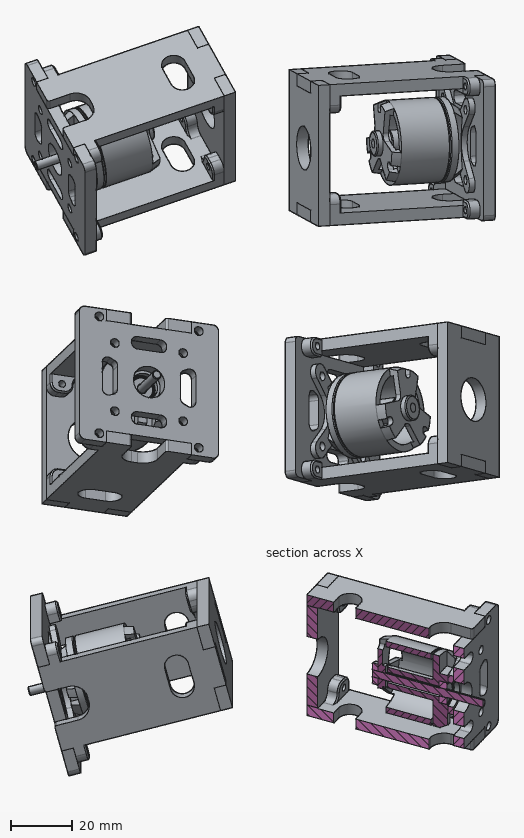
import cadquery as cq
import math

WALL = 4.0
FRAME_DEPTH = 58.0
FRAME_HEIGHT = 47.0
FRONT_WIDTH = 49.0
BODY_WIDTH = 29.95
FRONT_CORNER_R = 2.0

HALF_HEIGHT = FRAME_HEIGHT / 2
HALF_BODY = BODY_WIDTH / 2
INNER_Z = HALF_HEIGHT - WALL
REAR_Y = FRAME_DEPTH - WALL

CENTRE_HOLE_D = 11.0
MOUNT_HOLE_D = 3.0
MOUNT_HOLE_XZ = 12.0
CORNER_HOLE_D = 3.0
CORNER_HOLE_X = 17.5
CORNER_HOLE_Z = 20.6
END_SLOT_LENGTH = 12.35
END_SLOT_WIDTH = 4.4
END_SLOT_CORNER_R = 2.15
END_SLOT_Z = 13.25
SIDE_SLOT_INNER_X = 11.05
SIDE_SLOT_OUTER_X = 16.45
SIDE_SLOT_INNER_HALF = 5.3
SIDE_SLOT_OUTER_HALF = 7.85
SIDE_SLOT_CORNER_R = 2.0

PICK = 0.3

REAR_HOLE_D = 14.4
TONGUE_WIDTH = 13.7

LUG_LENGTH = 4.0
LUG_R = 3.0
LUG_HEIGHT = 2 * LUG_R
LUG_WIDTH = 8.0
LUG_CHAMFER = 0.5
PILOT_D = 2.35

VENT_LENGTH = 14.95
VENT_WIDTH = 8.0
VENT_Y = 44.0
MOUTH_WIDTH = 12.0
MOUTH_DEPTH = 13.0
MOUTH_CORNER_R = 5.0
MOUTH_LIP_R = 0.8

MOTOR_R = 14.0
MOUNT_THICKNESS = 2.0
NECK_LENGTH = 3.0
RING_LENGTH = 2.65
CAN_GAP = 0.45
CAN_LENGTH = 16.7
SPIDER_LENGTH = 3.05
WEB_THICKNESS = 1.9
COLLAR_LENGTH = 2.1

MOUNT_Y = WALL
NECK_Y = MOUNT_Y + MOUNT_THICKNESS
RING_Y = NECK_Y + NECK_LENGTH
RING_END_Y = RING_Y + RING_LENGTH
CAN_Y = RING_END_Y + CAN_GAP
CAN_END_Y = CAN_Y + CAN_LENGTH
SPIDER_END_Y = CAN_END_Y + SPIDER_LENGTH
WEB_Y = SPIDER_END_Y - WEB_THICKNESS
COLLAR_END_Y = SPIDER_END_Y + COLLAR_LENGTH

ARM_R = 3.0
ARM_TIP_XZ = 12.75
ARM_HOLE_D = 2.85
ARM_HOLE_XZ = 11.7
CROSS_R = 8.05
CROSS_BORE_D = 9.1

NECK_FRONT_R = 12.1
NECK_SIDE_R = 29.9
NECK_SIDE_X = 7.2
TOP_CHANNEL_WIDTH = 10.0
BOTTOM_CHANNEL_WIDTH = 9.1
RIB_WIDTH = 3.1
TUBE_R = 4.1
TUBE_CLEARANCE = 0.5
RING_CHAMFER = 0.3

BEARING_R = 4.1
BEARING_RECESS = 0.2
BEARING_LENGTH = 3.0
BEARING_EDGE = 0.4
BORE_CHAMFER = 0.2
SHAFT_R = 1.5
SHAFT_OUT = 7.0
SHAFT_CHAMFER = 0.25
TUBE_BORE_R = 1.95

CAN_INNER_R = 11.65
CAN_CHAMFER = 0.2
SPIDER_REAR_R = 13.05
SPOKE_WIDTH = 6.25
SPOKE_SPREAD = 13.5
SLOT_R = 1.35
SLOT_END_R = 11.6
CROTCH_R = 2.1
HUB_R = 4.2
COLLAR_R = 4.15
ARM_ANGLES = (90, 210, 330)
COLLAR_CHAMFER = 0.4


def plate_xz(y):
    """Workplane at depth y whose local axes are X and Z; extrude(-t) grows toward +Y."""
    return cq.Workplane("XZ", origin=(0, y, 0))


def turned(points):
    """Solid of revolution about the Y axis from (radius, y) points."""
    return cq.Workplane("XY").polyline(points).close().revolve(360, (0, 0, 0), (0, 1, 0))


def cylinder(radius, y_start, y_end):
    return plate_xz(y_start).circle(radius).extrude(y_start - y_end)


def square_points(x, z):
    return [(sx * x, sz * z) for sx in (-1, 1) for sz in (-1, 1)]


def through_holes(diameter, x, z):
    """Four holes through the front plate, one in each quadrant."""
    return plate_xz(0).pushPoints(square_points(x, z)).circle(diameter / 2).extrude(-WALL)


def make_side_slot():
    """Tapered slot on the +X side of the front plate."""
    outline = [
        (SIDE_SLOT_INNER_X, -SIDE_SLOT_INNER_HALF),
        (SIDE_SLOT_OUTER_X, -SIDE_SLOT_OUTER_HALF),
        (SIDE_SLOT_OUTER_X, SIDE_SLOT_OUTER_HALF),
        (SIDE_SLOT_INNER_X, SIDE_SLOT_INNER_HALF),
    ]
    slot = plate_xz(0).polyline(outline).close().extrude(-WALL)
    return slot.edges("|Y").fillet(SIDE_SLOT_CORNER_R)


def make_end_slot():
    """Straight slot above the centre of the front plate."""
    slot = plate_xz(0).center(0, END_SLOT_Z).rect(END_SLOT_LENGTH, END_SLOT_WIDTH).extrude(-WALL)
    return slot.edges("|Y").fillet(END_SLOT_CORNER_R)


def make_front_plate():
    plate = plate_xz(0).rect(FRONT_WIDTH, FRAME_HEIGHT).extrude(-WALL)
    plate = plate.edges("|Y").fillet(FRONT_CORNER_R)
    notches = (
        plate_xz(0)
        .pushPoints([(0, HALF_HEIGHT), (0, -HALF_HEIGHT)])
        .rect(BODY_WIDTH, 2 * WALL)
        .extrude(-WALL)
    )
    side_slot = make_side_slot()
    end_slot = make_end_slot()
    cuts = [
        notches,
        cylinder(CENTRE_HOLE_D / 2, 0, WALL),
        through_holes(MOUNT_HOLE_D, MOUNT_HOLE_XZ, MOUNT_HOLE_XZ),
        through_holes(CORNER_HOLE_D, CORNER_HOLE_X, CORNER_HOLE_Z),
        side_slot,
        side_slot.mirror("YZ"),
        end_slot,
        end_slot.mirror("XY"),
    ]
    for cut in cuts:
        plate = plate.cut(cut)
    return plate


def make_rear_plate():
    plate = plate_xz(REAR_Y).rect(BODY_WIDTH, FRAME_HEIGHT).circle(REAR_HOLE_D / 2).extrude(-WALL)
    notches = (
        plate_xz(REAR_Y)
        .pushPoints([(0, HALF_HEIGHT), (0, -HALF_HEIGHT)])
        .rect(TONGUE_WIDTH, 2 * WALL)
        .extrude(-WALL)
    )
    return plate.cut(notches)


def make_front_lug():
    """Round-ended lug beside the plate, behind the front plate, on the +X side."""
    centre_x = HALF_BODY + LUG_R
    centre_z = HALF_HEIGHT - LUG_R
    diagonal = LUG_R * math.sqrt(0.5)
    lug = (
        plate_xz(WALL)
        .moveTo(HALF_BODY, HALF_HEIGHT)
        .lineTo(centre_x, HALF_HEIGHT)
        .threePointArc((centre_x + diagonal, centre_z + diagonal), (centre_x + LUG_R, centre_z))
        .threePointArc((centre_x + diagonal, centre_z - diagonal), (centre_x, HALF_HEIGHT - LUG_HEIGHT))
        .lineTo(HALF_BODY, HALF_HEIGHT - LUG_HEIGHT)
        .close()
        .extrude(-LUG_LENGTH)
    )
    lug = lug.faces(">Y").edges("not <X").chamfer(LUG_CHAMFER)
    hole = plate_xz(WALL).center(CORNER_HOLE_X, CORNER_HOLE_Z).circle(PILOT_D / 2).extrude(-LUG_LENGTH)
    return lug.cut(hole)


def make_rear_lug():
    """Lug under the plate, in front of the rear plate, flush with the +X side."""
    inner_x = HALF_BODY - LUG_WIDTH
    low_z = INNER_Z - LUG_HEIGHT
    root_z = INNER_Z + LUG_CHAMFER
    diagonal = LUG_R * math.sqrt(0.5)
    lug = (
        plate_xz(REAR_Y)
        .moveTo(HALF_BODY, root_z)
        .lineTo(HALF_BODY, low_z + LUG_R)
        .threePointArc(
            (HALF_BODY - LUG_R + diagonal, low_z + LUG_R - diagonal), (HALF_BODY - LUG_R, low_z)
        )
        .lineTo(inner_x + LUG_R, low_z)
        .threePointArc((inner_x + LUG_R - diagonal, low_z + LUG_R - diagonal), (inner_x, low_z + LUG_R))
        .threePointArc((inner_x - LUG_R + diagonal, INNER_Z - LUG_R + diagonal), (inner_x - LUG_R, INNER_Z))
        .lineTo(inner_x - LUG_R, root_z)
        .close()
        .extrude(LUG_LENGTH)
    )
    lug = lug.faces("<Y").edges("not >Z").chamfer(LUG_CHAMFER)
    hole = (
        plate_xz(REAR_Y)
        .center(HALF_BODY - LUG_WIDTH / 2, low_z + LUG_R)
        .circle(PILOT_D / 2)
        .extrude(LUG_LENGTH)
    )
    return lug.cut(hole)


def make_top_plate():
    base = cq.Workplane("XY", origin=(0, 0, INNER_Z))
    plate = base.center(0, REAR_Y / 2).rect(BODY_WIDTH, REAR_Y).extrude(WALL)
    tongue = base.center(0, FRAME_DEPTH - WALL / 2).rect(TONGUE_WIDTH, WALL).extrude(WALL)
    plate = plate.union(tongue)

    mouth = base.rect(MOUTH_WIDTH, 2 * MOUTH_DEPTH).extrude(WALL).edges("|Z").fillet(MOUTH_CORNER_R)
    vent = base.center(0, VENT_Y).slot2D(VENT_LENGTH, VENT_WIDTH).extrude(WALL)
    plate = plate.cut(mouth).cut(vent)
    lips = cq.selectors.BoxSelector((-MOUTH_WIDTH, -PICK, 0), (MOUTH_WIDTH, PICK, HALF_HEIGHT))
    plate = plate.edges("|Z").edges(lips).fillet(MOUTH_LIP_R)

    for lug in (make_front_lug(), make_rear_lug()):
        plate = plate.union(lug).union(lug.mirror("YZ"))
    return plate


def make_cross_mount():
    diagonal = math.sqrt(0.5)
    arc_centre = (ARM_R + CROSS_R) / diagonal
    tangent_out = arc_centre - CROSS_R * diagonal
    tangent_side = CROSS_R * diagonal
    web = plate_xz(MOUNT_Y).rect(2 * tangent_out, 2 * tangent_side).extrude(-MOUNT_THICKNESS)
    web = web.union(plate_xz(MOUNT_Y).rect(2 * tangent_side, 2 * tangent_out).extrude(-MOUNT_THICKNESS))
    arcs = (
        plate_xz(MOUNT_Y)
        .pushPoints([(arc_centre, 0), (-arc_centre, 0), (0, arc_centre), (0, -arc_centre)])
        .circle(CROSS_R)
        .extrude(-MOUNT_THICKNESS)
    )
    cross = web.cut(arcs)
    arm_length = 2 * (ARM_TIP_XZ / diagonal + ARM_R)
    for angle in (45, 135):
        arm = plate_xz(MOUNT_Y).slot2D(arm_length, 2 * ARM_R, angle).extrude(-MOUNT_THICKNESS)
        cross = cross.union(arm)
    holes = (
        plate_xz(MOUNT_Y)
        .pushPoints(square_points(ARM_HOLE_XZ, ARM_HOLE_XZ))
        .circle(ARM_HOLE_D / 2)
        .extrude(-MOUNT_THICKNESS)
    )
    return cross.cut(holes).cut(cylinder(CROSS_BORE_D / 2, MOUNT_Y, NECK_Y))


def make_motor_base():
    tube_end = CAN_END_Y - TUBE_CLEARANCE
    seat_end = NECK_Y + BEARING_RECESS + BEARING_LENGTH
    body = turned([
        (0, NECK_Y),
        (NECK_FRONT_R, NECK_Y),
        (MOTOR_R, RING_Y),
        (MOTOR_R, RING_END_Y - RING_CHAMFER),
        (MOTOR_R - RING_CHAMFER, RING_END_Y),
        (TUBE_R, RING_END_Y),
        (TUBE_R, tube_end),
        (0, tube_end),
    ])
    side_centre = NECK_SIDE_X + NECK_SIDE_R
    sides = (
        plate_xz(NECK_Y)
        .pushPoints([(side_centre, 0), (-side_centre, 0)])
        .circle(NECK_SIDE_R)
        .extrude(-NECK_LENGTH)
    )
    channel_depth = MOTOR_R - NECK_SIDE_X
    channel_z = NECK_SIDE_X + channel_depth / 2
    top_channel = (
        plate_xz(NECK_Y).center(0, channel_z).rect(TOP_CHANNEL_WIDTH, channel_depth).extrude(-NECK_LENGTH)
    )
    bottom_channel = (
        plate_xz(NECK_Y).center(0, -channel_z).rect(BOTTOM_CHANNEL_WIDTH, channel_depth).extrude(-NECK_LENGTH)
    )
    rib = plate_xz(NECK_Y).center(0, -MOTOR_R / 2).rect(RIB_WIDTH, MOTOR_R).extrude(-NECK_LENGTH)
    bores = turned([
        (0, NECK_Y),
        (BEARING_R + BORE_CHAMFER, NECK_Y),
        (BEARING_R, NECK_Y + BORE_CHAMFER),
        (BEARING_R, seat_end),
        (TUBE_BORE_R, seat_end),
        (TUBE_BORE_R, tube_end),
        (0, tube_end),
    ])
    return body.cut(sides).cut(top_channel).cut(bottom_channel.cut(rib)).cut(bores)


def make_bearing():
    front = NECK_Y + BEARING_RECESS
    bearing = cylinder(BEARING_R, front, front + BEARING_LENGTH)
    bearing = bearing.faces("<Y").edges().chamfer(BEARING_EDGE)
    bore = turned([
        (0, front),
        (SHAFT_R + BORE_CHAMFER, front),
        (SHAFT_R, front + BORE_CHAMFER),
        (SHAFT_R, front + BEARING_LENGTH),
        (0, front + BEARING_LENGTH),
    ])
    return bearing.cut(bore)


def make_shaft():
    shaft = cylinder(SHAFT_R, -SHAFT_OUT, COLLAR_END_Y)
    return shaft.faces("<Y").edges().chamfer(SHAFT_CHAMFER)


def radial_plane(angle):
    """Workplane at the can's rear edge whose local X axis points outward at the given angle."""
    return plate_xz(CAN_END_Y).transformed(rotate=(0, 0, angle))


def radial_bar(inner, outer, width, angle):
    bar = radial_plane(angle).center((inner + outer) / 2, 0).rect(outer - inner, width)
    return bar.extrude(-SPIDER_LENGTH)


def near_axis(x, z):
    """Selects edges of the spider that run along Y through (x, z)."""
    corner = (x - PICK, CAN_END_Y, z - PICK)
    opposite = (x + PICK, SPIDER_END_Y, z + PICK)
    return cq.selectors.BoxSelector(corner, opposite)


def make_bell():
    can = cylinder(MOTOR_R, CAN_Y, CAN_END_Y).cut(cylinder(CAN_INNER_R, CAN_Y, CAN_END_Y))
    can = can.faces("<Y").edges(cq.selectors.RadiusNthSelector(-1)).chamfer(CAN_CHAMFER)
    spider = turned([
        (0, WEB_Y),
        (CAN_INNER_R, WEB_Y),
        (CAN_INNER_R, CAN_END_Y),
        (MOTOR_R, CAN_END_Y),
        (SPIDER_REAR_R, SPIDER_END_Y),
        (0, SPIDER_END_Y),
    ])
    spokes = cylinder(SPOKE_WIDTH / 2, CAN_END_Y, SPIDER_END_Y)
    for middle in ARM_ANGLES:
        for angle in (middle - SPOKE_SPREAD, middle + SPOKE_SPREAD):
            spokes = spokes.union(radial_bar(0, MOTOR_R, SPOKE_WIDTH, angle))
    gap_angle = 180 / len(ARM_ANGLES)
    crotch_distance = SPOKE_WIDTH / 2 / math.sin(math.radians(gap_angle - SPOKE_SPREAD))
    for middle in ARM_ANGLES:
        direction = math.radians(middle + gap_angle)
        crotch = (crotch_distance * math.cos(direction), crotch_distance * math.sin(direction))
        spokes = spokes.edges("|Y").edges(near_axis(*crotch)).fillet(CROTCH_R)
    for middle in ARM_ANGLES:
        slot = radial_bar(SLOT_END_R, MOTOR_R, 2 * SLOT_R, middle)
        slot_end = radial_plane(middle).center(SLOT_END_R, 0).circle(SLOT_R).extrude(-SPIDER_LENGTH)
        spokes = spokes.cut(slot).cut(slot_end)
    hub = cylinder(HUB_R, CAN_END_Y, WEB_Y)
    bell = can.union(spider.intersect(spokes)).union(hub)
    return bell.cut(cylinder(SHAFT_R, CAN_Y, SPIDER_END_Y))


def make_collar():
    collar = cylinder(COLLAR_R, SPIDER_END_Y, COLLAR_END_Y).faces(">Y").edges().chamfer(COLLAR_CHAMFER)
    return collar.cut(cylinder(SHAFT_R, SPIDER_END_Y, COLLAR_END_Y))


front_plate = make_front_plate()
rear_plate = make_rear_plate()
top_plate = make_top_plate()
bottom_plate = top_plate.mirror("XY")
cross_mount = make_cross_mount()
motor_base = make_motor_base()
bearing = make_bearing()
shaft = make_shaft()
bell = make_bell()
collar = make_collar()

result = cq.Compound.makeCompound([
    front_plate.val(),
    rear_plate.val(),
    top_plate.val(),
    bottom_plate.val(),
    cross_mount.val(),
    motor_base.val(),
    bearing.val(),
    shaft.val(),
    bell.val(),
    collar.val(),
])